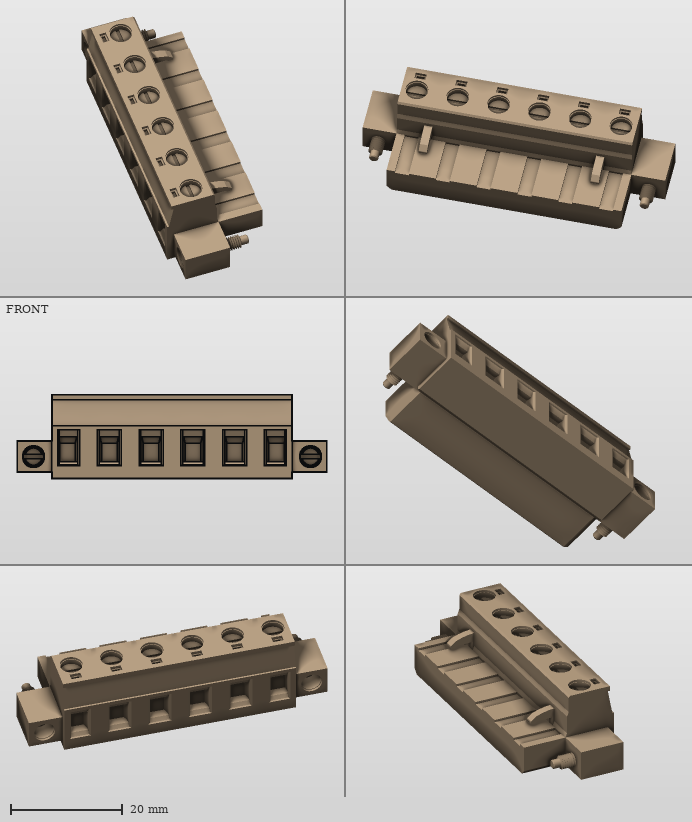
import cadquery as cq


total_length = 55.5
total_depth = 18.1
total_height = 15.05

pole_count = 6
pole_pitch = 7.5
pole_places = [(i - (pole_count - 1) / 2) * pole_pitch for i in range(pole_count)]

body_length = 43.05
body_half = body_length / 2
lip_front = 0.85
lip_bottom = 14.1
neck_front = 1.2
step_front = 0.35
step_height = 9.45
upper_back = 9.1
shoulder_back = 9.45
shoulder_top = 10.95
shoulder_start = 11.8
shoulder_bottom = 7.55
edge_chamfer = 0.35

plug_front = 9.75
plug_top = 6.75
plug_bottom = 0.95
plug_corner = 1.05
plug_edge_chamfer = 0.15
groove_width = 2.55
groove_depth = 0.45

flange_front = 1.3
flange_bottom = 1.15
flange_overlap = 0.55
flange_screw_x = 24.8
flange_screw_z = 3.95
flange_hole_radius = 1.95
flange_hole_depth = 3.35
flange_slot_width = 0.85
flange_head_chamfer = 0.3
shank_radius = 0.85
shank_end = 14.15
shank_embed = 0.3
shank_chamfer = 0.15
thread_radius = 1.3
thread_end = 12.7
thread_turns = 7

rim_step = 0.1
rim_depth = 0.45
slot_depth = 0.45

screw_y = 5.5
screw_bore_radius = 2.05
screw_recess = 1.5
screw_slot_width = 0.65

test_width = 2.0
test_front = 1.8
test_back = 3.0
test_depth = 0.55
test_wall = 0.3
test_shelf_depth = 1.1

mouth_half = 2.15
throat_half = 1.85
entry_back_half = 1.4
end_mouth_half = 1.7
mouth_depth = 0.3
entry_depth = 2.4
entry_bend = 0.85
entry_wall_bulge = 0.1
mouth_bottom = 2.35
throat_bottom = 2.45
entry_floor = 3.05
mouth_top = 8.7
ceiling_slope_depth = 0.55
ceiling_middle = 7.5
entry_back_top = 6.3

latch_x = 15.75
latch_width = 1.5
latch_top = 10.2
latch_underside = 8.45
latch_tip = 14.15
latch_tip_top = 8.65
latch_tip_bottom = 8.1
latch_back_middle = (11.45, 9.95)
latch_back_end = (13.1, 9.45)
latch_hook_corner = (13.3, 8.05)
latch_hook_root = 12.7
latch_tip_fillet = 0.2


def block(x_range, y_range, z_range):
    """Box between two limits along each axis."""
    (x0, x1), (y0, y1), (z0, z1) = x_range, y_range, z_range
    return cq.Workplane("XY").box(x1 - x0, y1 - y0, z1 - z0, centered=False).translate((x0, y0, z0))


def side_extrusion(points, centre_x, width):
    """Extrude a (Y, Z) outline along X, centred on centre_x."""
    return cq.Workplane("YZ", origin=(centre_x, 0, 0)).polyline(points).close().extrude(width / 2, both=True)


def make_housing():
    """Main block that holds the clamping screws and wire entries."""
    outline = [
        (0, 0),
        (0, step_height),
        (step_front, step_height),
        (neck_front, lip_bottom),
        (lip_front, lip_bottom),
        (lip_front, total_height),
        (upper_back - edge_chamfer, total_height),
        (upper_back, total_height - edge_chamfer),
        (upper_back, shoulder_start),
        (shoulder_back, shoulder_top),
        (shoulder_back, shoulder_bottom),
        (plug_front, plug_top),
        (plug_front, flange_bottom),
        (upper_back, flange_bottom),
        (upper_back, edge_chamfer),
        (upper_back - edge_chamfer, 0),
    ]
    return side_extrusion(outline, 0, body_length)


def make_plug():
    """Plug behind the housing, with one shallow groove on top per pole."""
    plug = block((-body_half, body_half), (plug_front, total_depth), (plug_bottom, plug_top))
    plug = plug.edges("|Y and <Z").chamfer(plug_corner)
    plug = plug.edges(">Y and <Z").chamfer(plug_edge_chamfer)
    for x in pole_places:
        groove = block(
            (x - groove_width / 2, x + groove_width / 2),
            (plug_front, total_depth),
            (plug_top - groove_depth, plug_top),
        )
        plug = plug.cut(groove)
    return plug


def make_latch(x):
    """Hooked arm reaching back over the plug."""
    root_z = plug_top - groove_depth
    outline = (
        cq.Workplane("YZ", origin=(x, 0, 0))
        .moveTo(upper_back, root_z)
        .lineTo(upper_back, latch_top)
        .lineTo(shoulder_back, latch_top)
        .threePointArc(latch_back_middle, latch_back_end)
        .lineTo(latch_tip, latch_tip_top)
        .lineTo(latch_tip, latch_tip_bottom)
        .lineTo(*latch_hook_corner)
        .lineTo(latch_hook_root, latch_underside)
        .lineTo(plug_front, latch_underside)
        .lineTo(plug_front, root_z)
        .close()
    )
    latch = outline.extrude(latch_width / 2, both=True)
    return latch.edges("|X and >Y").fillet(latch_tip_fillet)


def screw_bore(radius, depth, slot_width):
    """Bore sunk from Z = 0, stepped wider at its mouth, with a screw slot along X at the bottom."""
    inner_radius = radius - rim_step
    rim = cq.Workplane("XY").circle(radius).extrude(-rim_depth)
    bore = cq.Workplane("XY").circle(inner_radius).extrude(-depth)
    slot = block(
        (-inner_radius, inner_radius),
        (-slot_width / 2, slot_width / 2),
        (-depth - slot_depth, -depth),
    )
    return bore.union(rim).union(slot)


def head_edge_cut(radius, depth, chamfer):
    """Ring that bevels the edge of a screw head lying at the given depth in a bore."""
    return (
        cq.Workplane("XZ")
        .moveTo(radius, -depth)
        .lineTo(radius, -depth - chamfer)
        .lineTo(radius - chamfer, -depth)
        .close()
        .revolve(360, (0, 0, 0), (0, 1, 0))
    )


def make_flange(side):
    """Flange on the side given by the sign, with a screw head at the bottom of its hole."""
    inner = side * (body_half - flange_overlap)
    outer = side * total_length / 2
    flange = block(
        (min(inner, outer), max(inner, outer)),
        (flange_front, plug_front),
        (flange_bottom, plug_top),
    )
    x = side * flange_screw_x
    bore = (
        screw_bore(flange_hole_radius, flange_hole_depth, flange_slot_width)
        .union(head_edge_cut(flange_hole_radius - rim_step, flange_hole_depth, flange_head_chamfer))
        .rotate((0, 0, 0), (1, 0, 0), 90)
        .translate((x, flange_front, flange_screw_z))
    )
    return flange.cut(bore).union(make_shank(x))


def make_shank(x):
    """Screw end behind the flange; the thread is a stack of pointed rings."""
    pitch = (thread_end - plug_front) / thread_turns
    outline = [(0, plug_front - shank_embed), (shank_radius, plug_front - shank_embed)]
    for turn in range(thread_turns):
        root = plug_front + turn * pitch
        outline += [(shank_radius, root), (thread_radius, root + pitch / 2)]
    outline += [
        (shank_radius, thread_end),
        (shank_radius, shank_end - shank_chamfer),
        (shank_radius - shank_chamfer, shank_end),
        (0, shank_end),
    ]
    return (
        cq.Workplane("XY", origin=(x, 0, flange_screw_z))
        .polyline(outline)
        .close()
        .revolve(360, (0, 0, 0), (0, 1, 0))
    )


def screw_recess_cut(x):
    """Bore down to a clamping screw."""
    return screw_bore(screw_bore_radius, screw_recess, screw_slot_width).translate((x, screw_y, total_height))


def test_opening_cut(x):
    """Stepped rectangular opening in front of a clamping screw."""
    half = test_width / 2
    upper = block((x - half, x + half), (test_front, test_back), (total_height - test_depth, total_height))
    lower = block(
        (x - half + test_wall, x + half - test_wall),
        (test_front + test_wall, test_back - test_wall),
        (total_height - test_shelf_depth, total_height),
    )
    return upper.union(lower)


def wire_entry_cut(x):
    """Wire funnel; the outer side of each end pole stays narrower to keep the end wall."""
    left_half = end_mouth_half if x == pole_places[0] else mouth_half
    right_half = end_mouth_half if x == pole_places[-1] else mouth_half
    left_throat = min(throat_half, left_half - mouth_depth)
    right_throat = min(throat_half, right_half - mouth_depth)
    profile = [
        (0, mouth_bottom),
        (mouth_depth, throat_bottom),
        (entry_bend, entry_floor),
        (entry_depth, entry_floor),
        (entry_depth, entry_back_top),
        (entry_depth - ceiling_slope_depth, ceiling_middle),
        (mouth_depth + ceiling_slope_depth, ceiling_middle),
        (mouth_depth, mouth_top),
        (0, mouth_top),
    ]
    arc_y = (entry_bend + entry_depth) / 2
    left_arc = (left_throat + entry_back_half) / 2 + entry_wall_bulge
    right_arc = (right_throat + entry_back_half) / 2 + entry_wall_bulge
    plan = (
        cq.Workplane("XY", origin=(x, 0, 0))
        .moveTo(-left_half, 0)
        .lineTo(-left_throat, mouth_depth)
        .lineTo(-left_throat, entry_bend)
        .threePointArc((-left_arc, arc_y), (-entry_back_half, entry_depth))
        .lineTo(entry_back_half, entry_depth)
        .threePointArc((right_arc, arc_y), (right_throat, entry_bend))
        .lineTo(right_throat, mouth_depth)
        .lineTo(right_half, 0)
        .close()
        .extrude(total_height)
    )
    return side_extrusion(profile, x, 2 * mouth_half).intersect(plan)


result = make_housing().union(make_plug())
for side in (-1, 1):
    result = result.union(make_flange(side))
    result = result.union(make_latch(side * latch_x))
for pole_x in pole_places:
    result = result.cut(screw_recess_cut(pole_x))
    result = result.cut(test_opening_cut(pole_x))
    result = result.cut(wire_entry_cut(pole_x))